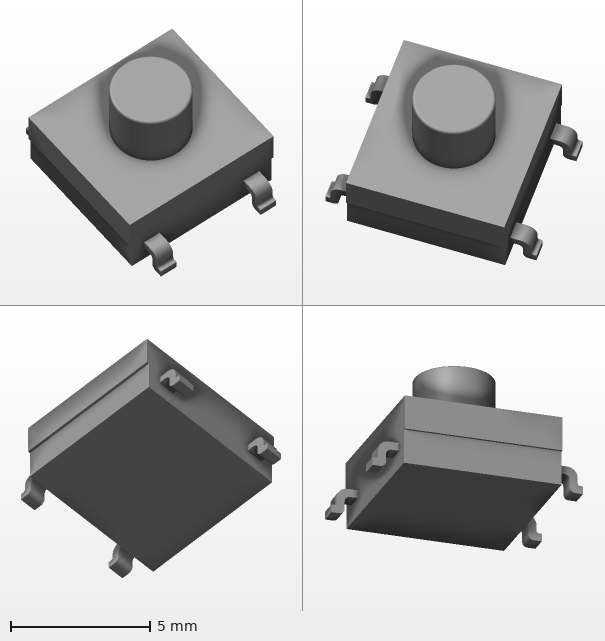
import cadquery as cq

overall_length = 8.0
overall_height = 4.9
body_length = 6.0

cover_width = 6.5
cover_thickness = 0.1
cover_depth = 1.3
body_height = 2.6

base_width = cover_width - 2 * cover_thickness
base_height = body_height - cover_thickness

button_diameter = 3.0
button_height = overall_height - body_height
button_edge_radius = 0.1

lead_width = 0.7
lead_thickness = 0.3
lead_height = 1.0
lead_spacing = 4.5
foot_length = 0.2
shoulder_outer_radius = 0.4
shoulder_inner_radius = 0.2
heel_radius = 0.2
foot_inner_radius = 0.1


def make_base():
    """Plain block standing on Z = 0."""
    return cq.Workplane("XY").box(body_length, base_width, base_height, centered=(True, True, False))


def make_cover():
    """Channel-shaped sheet: a flat top with a flange down each Y end."""
    cover = (
        cq.Workplane("XY")
        .workplane(offset=body_height - cover_depth)
        .box(body_length, cover_width, cover_depth, centered=(True, True, False))
    )
    return cover.cut(make_base())


def make_button():
    """Round button standing on the cover, with a rounded top edge."""
    return (
        cq.Workplane("XY")
        .workplane(offset=body_height)
        .circle(button_diameter / 2)
        .extrude(button_height)
        .faces(">Z")
        .edges()
        .fillet(button_edge_radius)
    )


def round_corner(lead, x, z, radius):
    """Fillet the lead edge that runs along Y through the point (x, z)."""
    return lead.edges(cq.selectors.NearestToPointSelector((x, 0, z))).fillet(radius)


def make_lead():
    """Gull-wing lead on the -X side, centred on Y = 0."""
    toe_x = -overall_length / 2
    body_x = -body_length / 2
    riser_outer_x = toe_x + foot_length
    riser_inner_x = riser_outer_x + lead_thickness
    shoulder_z = lead_height - lead_thickness
    lead = (
        cq.Workplane("XZ")
        .moveTo(toe_x, 0)
        .lineTo(riser_inner_x, 0)
        .lineTo(riser_inner_x, shoulder_z)
        .lineTo(body_x, shoulder_z)
        .lineTo(body_x, lead_height)
        .lineTo(riser_outer_x, lead_height)
        .lineTo(riser_outer_x, lead_thickness)
        .lineTo(toe_x, lead_thickness)
        .close()
        .extrude(lead_width / 2, both=True)
    )
    lead = round_corner(lead, riser_outer_x, lead_height, shoulder_outer_radius)
    lead = round_corner(lead, riser_inner_x, shoulder_z, shoulder_inner_radius)
    lead = round_corner(lead, riser_inner_x, 0, heel_radius)
    return round_corner(lead, riser_outer_x, lead_thickness, foot_inner_radius)


base = make_base()
cover = make_cover()
button = make_button()

leads = []
for turn in (0, 180):
    for side in (-1, 1):
        lead = make_lead().translate((0, side * lead_spacing / 2, 0))
        leads.append(lead.rotate((0, 0, 0), (0, 0, 1), turn).val())

result = cq.Compound.makeCompound([base.val(), cover.val(), button.val(), *leads])